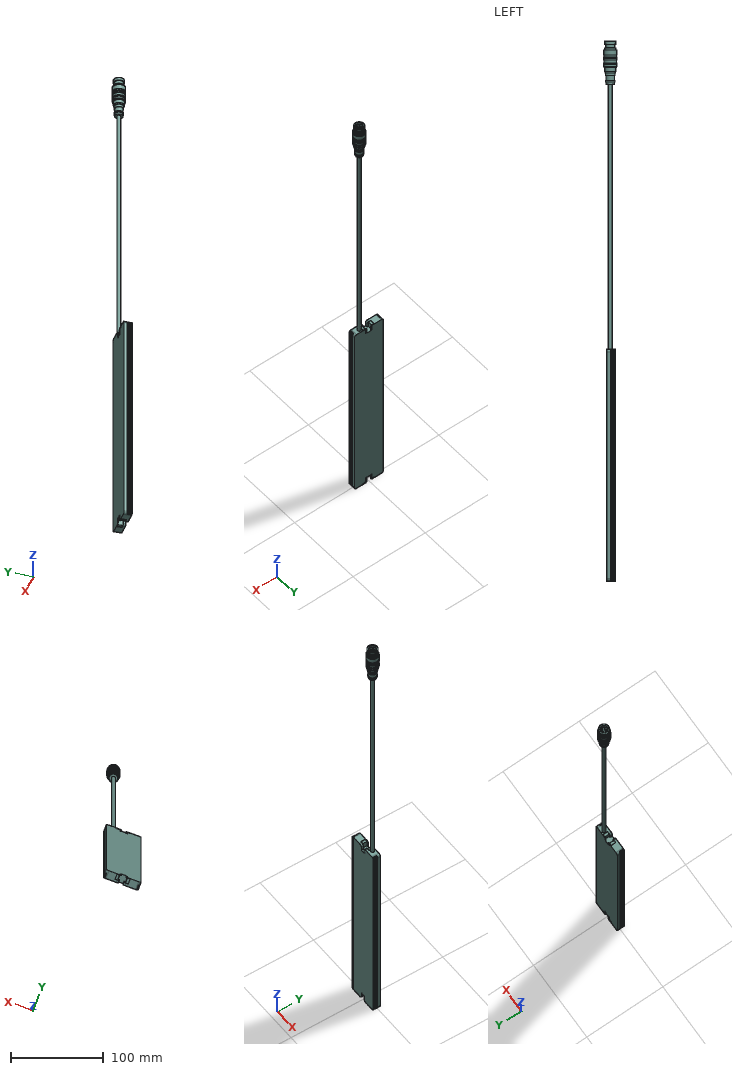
import cadquery as cq

total_length = 582.0
housing_width = 40.0
housing_depth = 9.5
housing_length = 250.0
housing_y = -0.9
corner_radius = 3.0

notch_width = 5.0
notch_depth = 7.5
mouth_radius = 2.5

front_wall = 3.0
back_wall = 0.5
shelf_width = 15.0
shelf_depth = 0.5
recess_width = 9.0
recess_depth = notch_depth

groove_width = 1.0
groove_depth = 2.0
groove_pitch = 2.0
groove_count = 3
groove_first_y = -0.5

cable_x = 10.5
cable_diameter = 4.5
cable_overlap = 6.0

cable_clamp = [(9.5, 2.5), (10.5, 2.0), (9.5, 5.0), (10.5, 3.0), (11.0, 2.0), (12.0, 4.0), (14.0, 1.0)]
lower_grip = [(14.5, 2.5), (14.0, 0.5), (14.5, 1.0)]
grip_neck = [(14.0, 3.0)]
upper_grip = [(14.5, 2.0), (14.0, 0.5), (14.5, 1.0), (14.0, 2.0), (14.5, 6.0)]
plug = [(12.0, 2.0), (10.5, 4.0), (12.0, 3.5)]
connector_rings = cable_clamp + lower_grip + grip_neck + upper_grip + plug
connector_length = sum(height for _, height in connector_rings)

socket_diameter = 9.0
socket_depth = 7.0
pin_diameter = 1.0
pin_length = 6.0
pin_circle_diameter = 4.5
pin_count = 4
first_pin_angle = 45


def cylinder(diameter, height, bottom):
    """Cylinder on the cable axis."""
    return cq.Workplane("XY", origin=(cable_x, 0, bottom)).circle(diameter / 2).extrude(height)


def block(width, depth, height, x, y, bottom):
    """Box centred at x, y and standing on the height given by bottom."""
    return cq.Workplane("XY", origin=(x, y, bottom)).rect(width, depth).extrude(height)


def cut_both_ends(body, width, depth, height, y):
    """Cut the same centred pocket into the bottom and top ends of the housing."""
    for bottom in (0, housing_length - height):
        body = body.cut(block(width, depth, height, 0, y, bottom))
    return body


def round_notch_mouths(body):
    for x in (-notch_width / 2, notch_width / 2):
        for z in (0, housing_length):
            mouth_edge = cq.selectors.NearestToPointSelector((x, housing_y, z))
            body = body.edges("|Y").edges(mouth_edge).fillet(mouth_radius)
    return body


def cut_recesses(body):
    recess_length = housing_depth - front_wall - back_wall
    recess_y = housing_y + (front_wall - back_wall) / 2
    body = cut_both_ends(body, shelf_width, recess_length, shelf_depth, recess_y)
    return cut_both_ends(body, recess_width, recess_length, recess_depth, recess_y)


def cut_side_grooves(body):
    groove_x = (housing_width - groove_depth) / 2
    for x in (-groove_x, groove_x):
        for i in range(groove_count):
            y = groove_first_y - i * groove_pitch
            body = body.cut(block(groove_depth, groove_width, housing_length, x, y, 0))
    return body


def make_housing():
    body = block(housing_width, housing_depth, housing_length, 0, housing_y, 0)
    body = body.edges("|Y").fillet(corner_radius)
    body = cut_both_ends(body, notch_width, housing_depth, notch_depth, housing_y)
    body = round_notch_mouths(body)
    body = cut_recesses(body)
    return cut_side_grooves(body)


def make_cable():
    bottom = housing_length - cable_overlap
    return cylinder(cable_diameter, total_length - connector_length - bottom, bottom)


def make_connector():
    bottom = total_length - connector_length
    first_diameter, first_height = connector_rings[0]
    connector = cylinder(first_diameter, first_height, bottom)
    bottom += first_height
    for diameter, height in connector_rings[1:]:
        connector = connector.union(cylinder(diameter, height, bottom))
        bottom += height
    socket_floor = total_length - socket_depth
    connector = connector.cut(cylinder(socket_diameter, socket_depth, socket_floor))
    pins = (
        cq.Workplane("XY", origin=(cable_x, 0, socket_floor))
        .polarArray(pin_circle_diameter / 2, first_pin_angle, 360, pin_count)
        .circle(pin_diameter / 2)
        .extrude(pin_length)
    )
    return connector.union(pins)


result = make_housing().union(make_cable()).union(make_connector())